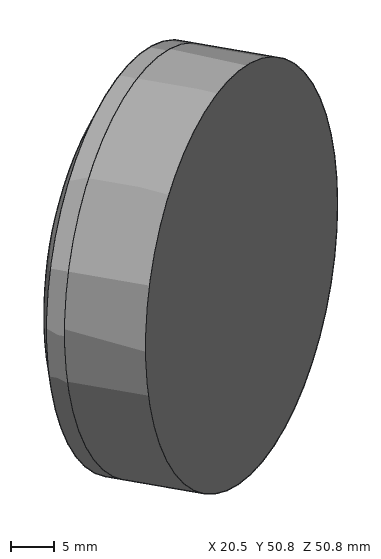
import cadquery as cq

diameter = 50.8
radius = diameter / 2
total_thickness = 20.5
front_sag = 7.4
front_rim = 2.3
rear_sag = 0.5

front_apex_x = -total_thickness / 2
rear_apex_x = total_thickness / 2
front_edge_x = front_apex_x + front_sag
joint_x = front_edge_x + front_rim
rear_edge_x = rear_apex_x - rear_sag


def domed_element(apex_x, edge_x):
    """Round lens element, flat at the joint and spherical at its outer end."""
    sag = abs(edge_x - apex_x)
    sphere_radius = (radius**2 + sag**2) / (2 * sag)
    mid_height = radius / 2
    mid_sag = sphere_radius - (sphere_radius**2 - mid_height**2) ** 0.5
    inward = 1 if edge_x > apex_x else -1
    profile = (
        cq.Workplane("XY")
        .moveTo(joint_x, 0)
        .lineTo(joint_x, radius)
        .lineTo(edge_x, radius)
        .threePointArc((apex_x + inward * mid_sag, mid_height), (apex_x, 0))
        .close()
    )
    return profile.revolve(360, (0, 0, 0), (1, 0, 0))


front_element = domed_element(front_apex_x, front_edge_x)
rear_element = domed_element(rear_apex_x, rear_edge_x)

result = cq.Compound.makeCompound([front_element.val(), rear_element.val()])